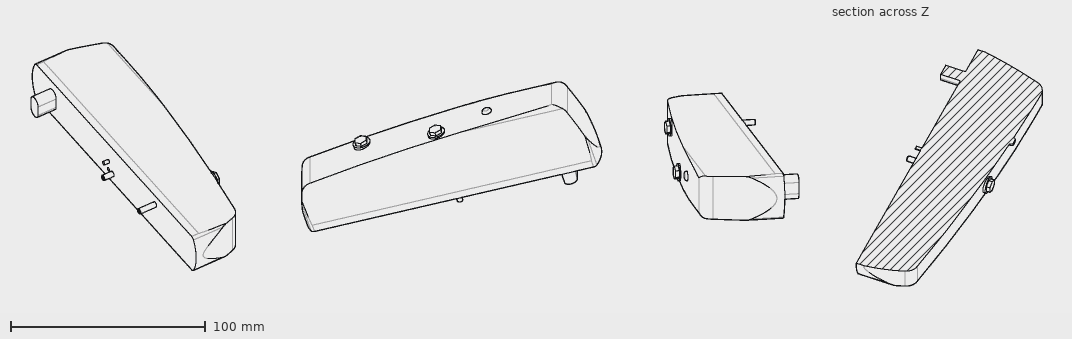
import cadquery as cq
import math

LENGTH = 157.8
HEIGHT = 24.0
DEPTH = 42.01
BASE_RIM = 4.2
DRAFT_ANGLE = 1.0
END_RADIUS = 24.0
CORNER_FILLET = 2.0
BACK_EDGE_RADIUS = 2.5

LEFT_WALL_MIDDLE = (-75.6, 19.5)
LEFT_WALL_TOP = (-70.9, 36.1)
LEFT_SHOULDER_MIDDLE = (-68.6, 40.2)
BACK_START = (-64.0, DEPTH)
BACK_MIDDLE = (4.0, 38.0)
BACK_END = (68.4, 29.8)
RIGHT_SHOULDER_MIDDLE = (72.0, 28.2)
RIGHT_WALL_TOP = (73.9, 25.3)
RIGHT_WALL_MIDDLE = (76.9, 15.5)

LUG_X = -59.2
LUG_WIDTH = 7.0
LUG_HEIGHT = 13.0
LUG_LENGTH = 11.0

SCREWS = (
    (-1.6, -6.0, 6.0, 39.4, 41.4),
    (39.4, 6.0, 10.0, 35.2, 37.1),
)
SHANK_DIAMETER = 3.0
SHANK_CHAMFER = 0.4
WASHER_DIAMETER = 9.0
WASHER_EMBEDDED_DEPTH = 3.0
HEAD_ACROSS_FLATS = 6.0
HEAD_SIDES = 6
HEAD_TURN = 90.0

CONTACT_X = -5.4
CONTACT_DIAMETER = 2.0
PIN_Z = 0.0
PIN_LENGTH = 3.0
HOLE_Z = -6.0
HOLE_DEPTH = 3.0

BUTTON_X = -29.0
BUTTON_DIAMETER = 5.0
BUTTON_TOP = 41.9
BUTTON_EDGE_RADIUS = 1.2
BUTTON_EMBEDDED_DEPTH = 3.0


def plane_at(y):
    """XZ plane at the given Y whose normal points along +Y; local y is -Z."""
    return cq.Plane(origin=(0, y, 0), xDir=(1, 0, 0), normal=(0, 1, 0))


def cylinder(x, z, diameter, y_start, y_end):
    """Round bar along Y between two Y positions."""
    circle = cq.Workplane(plane_at(y_start)).center(x, -z).circle(diameter / 2)
    return circle.extrude(y_end - y_start)


def bowed_prism():
    """Full-depth bar with bowed ends."""
    half_length = LENGTH / 2
    half_height = HEIGHT / 2
    bow = END_RADIUS - math.sqrt(END_RADIUS**2 - half_height**2)
    corner_x = half_length - bow
    return (
        cq.Workplane(plane_at(0))
        .moveTo(-corner_x, -half_height)
        .lineTo(corner_x, -half_height)
        .threePointArc((half_length, 0), (corner_x, half_height))
        .lineTo(-corner_x, half_height)
        .threePointArc((-half_length, 0), (-corner_x, -half_height))
        .close()
        .extrude(DEPTH)
    )


def cross_section_bar():
    """Bar along X with drafted large faces and rounded back edges."""
    half_height = HEIGHT / 2
    back_half = half_height - (DEPTH - BASE_RIM) * math.tan(math.radians(DRAFT_ANGLE))
    return (
        cq.Workplane("YZ", origin=(-LENGTH / 2, 0, 0))
        .moveTo(0, -half_height)
        .lineTo(BASE_RIM, -half_height)
        .lineTo(DEPTH, -back_half)
        .lineTo(DEPTH, back_half)
        .lineTo(BASE_RIM, half_height)
        .lineTo(0, half_height)
        .close()
        .extrude(LENGTH)
    )


def side_profile_slab():
    """Slab along Z with the tapered side outline."""
    half_length = LENGTH / 2
    return (
        cq.Workplane("XY", origin=(0, 0, -HEIGHT / 2))
        .moveTo(-half_length, 0)
        .lineTo(-half_length, BASE_RIM)
        .threePointArc(LEFT_WALL_MIDDLE, LEFT_WALL_TOP)
        .threePointArc(LEFT_SHOULDER_MIDDLE, BACK_START)
        .threePointArc(BACK_MIDDLE, BACK_END)
        .threePointArc(RIGHT_SHOULDER_MIDDLE, RIGHT_WALL_TOP)
        .threePointArc(RIGHT_WALL_MIDDLE, (half_length, BASE_RIM))
        .lineTo(half_length, 0)
        .close()
        .extrude(HEIGHT)
    )


def housing():
    bar = bowed_prism().edges("|Y").fillet(CORNER_FILLET)
    section = cross_section_bar().edges("|X and >Y").fillet(BACK_EDGE_RADIUS)
    return bar.intersect(section).intersect(side_profile_slab())


def lug():
    slot = cq.Workplane(plane_at(-LUG_LENGTH)).center(LUG_X, 0).slot2D(LUG_HEIGHT, LUG_WIDTH, 90)
    return slot.extrude(LUG_LENGTH)


def screw(x, z, shank_length, washer_y, head_y):
    """Shank out of the mounting face, washer and hexagon head on the back."""
    shank = cylinder(x, z, SHANK_DIAMETER, -shank_length, washer_y)
    shank = shank.faces("<Y").chamfer(SHANK_CHAMFER)
    washer = cylinder(x, z, WASHER_DIAMETER, washer_y - WASHER_EMBEDDED_DEPTH, washer_y)
    across_corners = HEAD_ACROSS_FLATS / math.cos(math.pi / HEAD_SIDES)
    head = (
        cq.Workplane(plane_at(washer_y))
        .center(x, -z)
        .transformed(rotate=(0, 0, HEAD_TURN))
        .polygon(HEAD_SIDES, across_corners)
        .extrude(head_y - washer_y)
    )
    return shank.union(washer).union(head)


def button():
    bar = cylinder(BUTTON_X, 0, BUTTON_DIAMETER, BUTTON_TOP - BUTTON_EMBEDDED_DEPTH, BUTTON_TOP)
    return bar.faces(">Y").edges().fillet(BUTTON_EDGE_RADIUS)


def contact_pin():
    """Pin set as deep into the housing as it stands out of it."""
    return cylinder(CONTACT_X, PIN_Z, CONTACT_DIAMETER, -PIN_LENGTH, PIN_LENGTH)


def contact_hole():
    return cylinder(CONTACT_X, HOLE_Z, CONTACT_DIAMETER, 0, HOLE_DEPTH)


result = housing().union(lug()).union(button()).union(contact_pin())
for screw_sizes in SCREWS:
    result = result.union(screw(*screw_sizes))
result = result.cut(contact_hole())